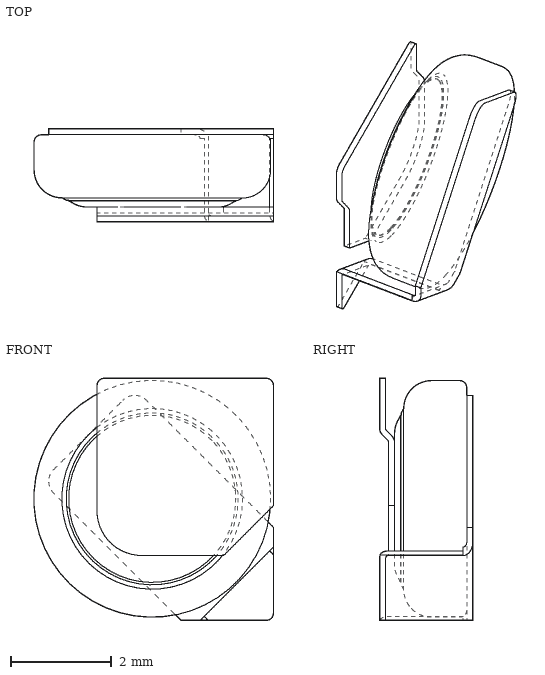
import cadquery as cq
import math

SHEET = 0.12
BEND = 0.04
CORNER = 0.145
SIDE_X = 2.405
BASE_Z = -2.41
FRONT_Y = -1.73
OUTER_BEND = BEND + SHEET
SIN45 = math.sqrt(0.5)

WHEEL_R = 2.345
WHEEL_WIDTH = 1.435
BACK_FILLET = 0.145
FRONT_FILLET = 0.555
SHOULDER_Y = -1.255
LEDGE_Y = -1.3
LEDGE_OUTER_R = 1.705
LEDGE_INNER_R = 1.655
HUB_STEP_Y = -1.315
HUB_ARC_R = 1.59
HUB_ARC_Y = -1.35
HUB_FACE_R = 1.285

COVER_LEFT = -1.095
COVER_TOP = 2.39
COVER_BOTTOM = -1.125
COVER_ROUND = 0.89
COVER_CHAMFER = 0.99
JOGGLE_Z = 1.135

STRAP_HALF_WIDTH = 1.3
STRAP_END = 1.79
STRAP_ROUND = 0.325
WALL_INNER = 2.375
WALL_HALF_WIDTH = 0.915
STRAP_BEND = 0.075
STRAP_BEND_START = WALL_INNER - STRAP_BEND
TAB_START = WALL_INNER + OUTER_BEND
DIAGONAL_REACH = 3.6


def arc_point(center, radius, degrees):
    """Point on a circle at the given angle."""
    angle = math.radians(degrees)
    return (center[0] + radius * math.cos(angle), center[1] + radius * math.sin(angle))


def make_wheel():
    """Turned wheel with a rounded tread and a domed hub rim."""
    tread_y = SHOULDER_Y + FRONT_FILLET
    back_center = (WHEEL_R - BACK_FILLET, -BACK_FILLET)
    front_center = (WHEEL_R - FRONT_FILLET, tread_y)
    rim_height = WHEEL_WIDTH + HUB_ARC_Y
    rim_width = HUB_ARC_R - HUB_FACE_R
    rim_radius = (rim_width**2 + rim_height**2) / (2 * rim_height)
    rim_center = (HUB_FACE_R, rim_radius - WHEEL_WIDTH)
    rim_sweep = math.degrees(math.asin(rim_width / rim_radius))
    profile = (
        cq.Workplane("XY")
        .moveTo(0, 0)
        .lineTo(WHEEL_R - BACK_FILLET, 0)
        .threePointArc(arc_point(back_center, BACK_FILLET, 45), (WHEEL_R, -BACK_FILLET))
        .lineTo(WHEEL_R, tread_y)
        .threePointArc(arc_point(front_center, FRONT_FILLET, -45), (front_center[0], SHOULDER_Y))
        .lineTo(LEDGE_OUTER_R, LEDGE_Y)
        .lineTo(LEDGE_INNER_R, LEDGE_Y)
        .lineTo(LEDGE_INNER_R, HUB_STEP_Y)
        .lineTo(HUB_ARC_R, HUB_ARC_Y)
        .threePointArc(arc_point(rim_center, rim_radius, rim_sweep / 2 - 90), (HUB_FACE_R, -WHEEL_WIDTH))
        .lineTo(0, -WHEEL_WIDTH)
        .close()
    )
    return profile.revolve(360, (0, 0, 0), (0, 1, 0))


def make_cover():
    """Sheet against the hub face, its upper flange offset forward by a joggle."""
    lower_back = -WHEEL_WIDTH
    lower_front = lower_back - SHEET
    upper_back = FRONT_Y + SHEET
    offset = lower_front - FRONT_Y
    rise = BEND + OUTER_BEND
    slope = offset - rise * (1 - SIN45)
    joggle_top = JOGGLE_Z + rise * SIN45 + slope
    lower_center = (lower_front - BEND, JOGGLE_Z)
    upper_center = (upper_back + BEND, joggle_top)
    section = (
        cq.Workplane("YZ")
        .moveTo(lower_back, COVER_BOTTOM)
        .lineTo(lower_back, JOGGLE_Z)
        .threePointArc(arc_point(lower_center, OUTER_BEND, 22.5), arc_point(lower_center, OUTER_BEND, 45))
        .lineTo(*arc_point(upper_center, BEND, 225))
        .threePointArc(arc_point(upper_center, BEND, 202.5), (upper_back, joggle_top))
        .lineTo(upper_back, COVER_TOP)
        .lineTo(FRONT_Y, COVER_TOP)
        .lineTo(FRONT_Y, joggle_top)
        .threePointArc(arc_point(upper_center, OUTER_BEND, 202.5), arc_point(upper_center, OUTER_BEND, 225))
        .lineTo(*arc_point(lower_center, BEND, 45))
        .threePointArc(arc_point(lower_center, BEND, 22.5), (lower_front, JOGGLE_Z))
        .lineTo(lower_front, COVER_BOTTOM)
        .close()
    )
    cover = section.extrude(SIDE_X - COVER_LEFT).translate((COVER_LEFT, 0, 0))
    cover = cover.edges("|Y and >Z").fillet(CORNER)
    cover = cover.edges("|Y and <Z and <X").fillet(COVER_ROUND)
    return cover.edges("|Y and <Z and >X").chamfer(COVER_CHAMFER)


def make_bracket():
    """Diagonal strap behind the wheel, bent forward and out again into a corner tab."""
    strap = (
        cq.Workplane("XY")
        .box(STRAP_BEND_START + STRAP_END, SHEET, 2 * STRAP_HALF_WIDTH, centered=(False, False, True))
        .translate((-STRAP_END, 0, 0))
        .edges("|Y and <X")
        .fillet(STRAP_ROUND)
    )

    tab = (
        cq.Workplane("XY")
        .box(DIAGONAL_REACH - TAB_START, SHEET, 2 * STRAP_HALF_WIDTH, centered=(False, False, True))
        .translate((TAB_START, FRONT_Y, 0))
    )

    strap_outer_bend = STRAP_BEND + SHEET
    back_center = (STRAP_BEND_START, -STRAP_BEND)
    strap_bend = (
        cq.Workplane("XY")
        .moveTo(STRAP_BEND_START, 0)
        .threePointArc(arc_point(back_center, STRAP_BEND, 45), (WALL_INNER, -STRAP_BEND))
        .lineTo(WALL_INNER + SHEET, -STRAP_BEND)
        .threePointArc(arc_point(back_center, strap_outer_bend, 45), (STRAP_BEND_START, SHEET))
        .close()
        .extrude(STRAP_HALF_WIDTH, both=True)
    )

    front_center = (TAB_START, FRONT_Y + OUTER_BEND)
    wall = (
        cq.Workplane("XY")
        .moveTo(WALL_INNER, -STRAP_BEND)
        .lineTo(WALL_INNER, FRONT_Y + OUTER_BEND)
        .threePointArc(arc_point(front_center, OUTER_BEND, 225), (TAB_START, FRONT_Y))
        .lineTo(TAB_START, FRONT_Y + SHEET)
        .threePointArc(arc_point(front_center, BEND, 225), (WALL_INNER + SHEET, FRONT_Y + OUTER_BEND))
        .lineTo(WALL_INNER + SHEET, -STRAP_BEND)
        .close()
        .extrude(WALL_HALF_WIDTH, both=True)
    )
    diagonal = strap.union(strap_bend).union(wall).union(tab).rotate((0, 0, 0), (0, 1, 0), 45)

    span = 2 * SIDE_X
    outline = (
        cq.Workplane("XY")
        .box(span, span, span)
        .translate((0, 0, BASE_Z + span / 2))
        .edges("|Y and >X and <Z")
        .fillet(CORNER)
    )
    return diagonal.intersect(outline).solids()


wheel = make_wheel()
cover = make_cover()
bracket = make_bracket()
result = cq.Compound.makeCompound([wheel.val(), cover.val(), bracket.val()])